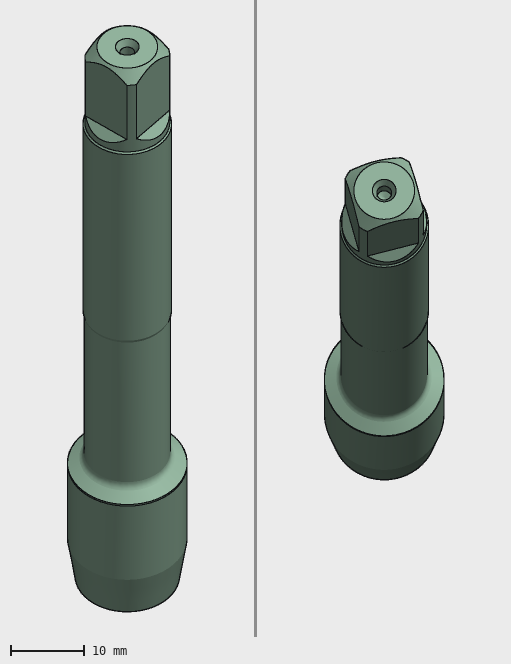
import cadquery as cq
import math

total_length = 100.0
lead_length = 7.0
head_length = 21.0
neck_top = 50.2
shank_top = 85.5
square_bottom = 88.1

head_diameter = 16.2
tip_diameter = 14.2
neck_diameter = 11.7
shank_diameter = 12.0
square_blank_diameter = 11.5
square_top_diameter = 8.2

collar_band = 0.3
collar_cone_slope = 30.0
neck_fillet = 1.2
neck_step_length = 0.5
square_width = 9.0

center_mouth_diameter = 3.2
center_hole_diameter = 2.0
center_hole_depth = 3.0
countersink_angle = 60.0
drill_point_angle = 120.0


def revolve_profile(points):
    """Revolve a closed outline of (radius, Z) points about the Z axis."""
    return cq.Workplane("XZ").polyline(points).close().revolve(360, (0, 0, 0), (0, 1, 0))


def cone_height(wide_diameter, narrow_diameter, angle):
    """Height of a cone with the given included angle between two diameters."""
    return (wide_diameter - narrow_diameter) / 2 / math.tan(math.radians(angle / 2))


def make_cutting_head():
    """Plain threaded-length cylinder with a tapered lead at the tip."""
    return revolve_profile([
        (0, 0),
        (tip_diameter / 2, 0),
        (head_diameter / 2, lead_length),
        (head_diameter / 2, head_length),
        (0, head_length),
    ])


def make_shank_blank():
    """Stepped round shank with a conical collar and a 45 degree end chamfer."""
    collar_radius = head_diameter / 2
    neck_radius = neck_diameter / 2
    shank_radius = shank_diameter / 2
    blank_radius = square_blank_diameter / 2
    top_radius = square_top_diameter / 2
    collar_edge_z = head_length + collar_band
    cone_top = collar_edge_z + (collar_radius - neck_radius) * math.tan(math.radians(collar_cone_slope))
    blank = revolve_profile([
        (0, head_length),
        (collar_radius, head_length),
        (collar_radius, collar_edge_z),
        (neck_radius, cone_top),
        (neck_radius, neck_top - neck_step_length),
        (shank_radius, neck_top),
        (shank_radius, shank_top),
        (blank_radius, shank_top + shank_radius - blank_radius),
        (blank_radius, total_length - (blank_radius - top_radius)),
        (top_radius, total_length),
        (0, total_length),
    ])
    neck_root = cq.selectors.NearestToPointSelector((0, 0, cone_top))
    return blank.edges("%CIRCLE").edges(neck_root).fillet(neck_fillet)


def make_flat_cutter():
    """Cutter for the +X flat, with a 45 degree run-out at its lower end."""
    inner = square_width / 2
    outer = shank_diameter
    return (
        cq.Workplane("XZ")
        .polyline([
            (inner, total_length),
            (inner, square_bottom),
            (outer, square_bottom - (outer - inner)),
            (outer, total_length),
        ])
        .close()
        .extrude(shank_diameter, both=True)
    )


def make_center_hole():
    """Countersunk blind hole with a conical drill point."""
    mouth_radius = center_mouth_diameter / 2
    hole_radius = center_hole_diameter / 2
    countersink_z = total_length - cone_height(center_mouth_diameter, center_hole_diameter, countersink_angle)
    hole_bottom = total_length - center_hole_depth
    return revolve_profile([
        (0, total_length),
        (mouth_radius, total_length),
        (hole_radius, countersink_z),
        (hole_radius, hole_bottom),
        (0, hole_bottom - cone_height(center_hole_diameter, 0, drill_point_angle)),
    ])


def make_shank():
    """Shank with four driving flats and a centre hole."""
    shank = make_shank_blank()
    flat_cutter = make_flat_cutter()
    for angle in (0, 90, 180, 270):
        shank = shank.cut(flat_cutter.rotate((0, 0, 0), (0, 0, 1), angle))
    return shank.cut(make_center_hole())


cutting_head = make_cutting_head()
shank = make_shank()
result = cq.Compound.makeCompound([cutting_head.val(), *shank.vals()])